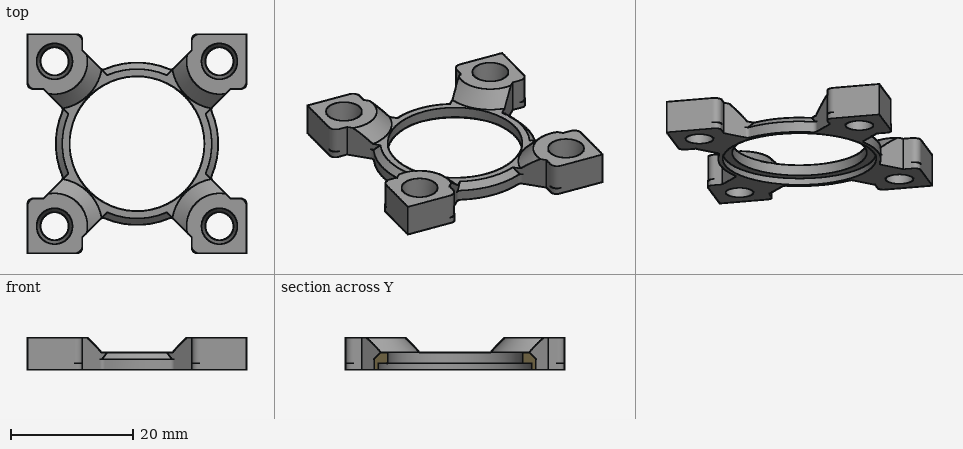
import cadquery as cq
import math

side = 35.87
height = 5.3
base_height = 1.08

block_side = 9.0
base_corner_radius = 1.0
upper_corner_radius = 1.25
inner_corner_trim = 2.87

hole_centre = 13.5
hole_top_diameter = 5.9
hole_bottom_diameter = 4.55

ring_outer_radius = 13.3
ring_inner_radius = 11.0
recess_radius = 12.55
ring_height = 2.87
ring_chamfer = 1.08
ring_wall_height = ring_height - ring_chamfer

arm_width = 8.95
arm_start = 10.05
arm_ring_fillet = 0.7
junction_zone = 12.9
slope_top_radius = 5.38
slope_rise = height - ring_height
slope_bottom_radius = slope_top_radius + slope_rise

hole_distance = hole_centre * math.sqrt(2)
hole_axis = cq.Vector(hole_centre, hole_centre, 0)


def around(feature):
    """The feature of the +X +Y corner repeated at all four corners."""
    copies = feature
    for turn in (90, 180, 270):
        copies = copies.union(feature.rotate((0, 0, 0), (0, 0, 1), turn))
    return copies


def disc(radius, disc_height):
    """Cylinder on the part axis, standing on the base plane."""
    return cq.Workplane("XY").circle(radius).extrude(disc_height)


def arm(arm_height):
    """Straight bar along the diagonal from the ring to the hole axis."""
    length = hole_distance - arm_start
    bar = cq.Workplane("XY").box(length, arm_width, arm_height, centered=(False, True, False))
    return bar.translate((arm_start, 0, 0)).rotate((0, 0, 0), (0, 0, 1), 45)


def block(bottom, top, corner_radius):
    """Layer of a corner block: sharp outer corner, two rounded corners, trimmed inner corner."""
    centre = (side - block_side) / 2
    layer = (
        cq.Workplane("XY", origin=(centre, centre, bottom))
        .rect(block_side, block_side)
        .extrude(top - bottom)
    )
    layer = layer.edges("|Z").edges("<(1,1,0)").chamfer(inner_corner_trim)
    return layer.edges("|Z").edges("<(1,-1,0) or >(1,-1,0)").fillet(corner_radius)


def arm_slope():
    """Upper part of an arm, ending in a cone that falls to the top of the ring."""
    cone = cq.Solid.makeCone(
        slope_bottom_radius, slope_top_radius, slope_rise, hole_axis + cq.Vector(0, 0, ring_height)
    )
    return arm(height).intersect(cq.Workplane(cone))


def ring_with_arms():
    """Chamfered ring disc crossed by the arms, with the wall corners between them rounded."""
    wall = disc(ring_outer_radius, ring_wall_height).union(around(arm(ring_wall_height)))
    zone = cq.selectors.BoxSelector(
        (-junction_zone, -junction_zone, 0), (junction_zone, junction_zone, ring_wall_height)
    )
    wall = wall.edges("|Z").edges(zone).fillet(arm_ring_fillet)
    chamfered_disc = disc(ring_outer_radius, ring_height).faces(">Z").chamfer(ring_chamfer)
    return wall.union(chamfered_disc).union(around(arm(ring_height)))


corner = (
    block(0, base_height, base_corner_radius)
    .union(block(base_height, height, upper_corner_radius))
    .union(arm(ring_height))
    .union(arm_slope())
)
hole = cq.Workplane(cq.Solid.makeCone(hole_bottom_diameter / 2, hole_top_diameter / 2, height, hole_axis))

result = (
    ring_with_arms()
    .union(around(corner))
    .cut(disc(ring_inner_radius, height))
    .cut(disc(recess_radius, base_height))
    .cut(around(hole))
)